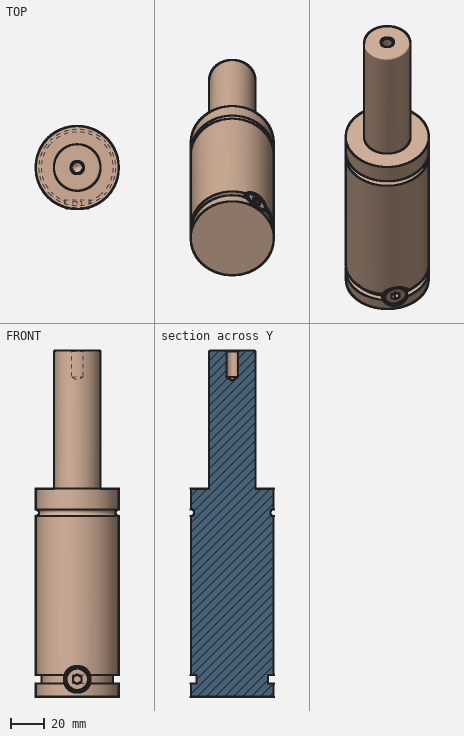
import cadquery as cq
import math

BODY_DIAMETER = 50.0
BODY_HEIGHT = 125.0

BASE_GROOVE_DIAMETER = 43.0
BASE_GROOVE_BOTTOM = 8.0
BASE_GROOVE_TOP = 13.0

NECK_GROOVE_RADIUS = 2.0
NECK_GROOVE_HEIGHT = 110.5

TOTAL_HEIGHT = 208.0
ROD_DIAMETER = 28.0
ROD_EDGE_RADIUS = 1.2

ROD_HOLE_DIAMETER = 6.8
ROD_HOLE_MOUTH_DIAMETER = 8.0
ROD_HOLE_DEPTH = 16.0
DRILL_POINT_ANGLE = 118.0

PLUG_BORE_DIAMETER = 16.0
PLUG_DIAMETER = 14.0
PLUG_CHAMFER = 0.5
PLUG_HEIGHT = (BASE_GROOVE_BOTTOM + BASE_GROOVE_TOP) / 2
PLUG_SEAT_OFFSET = 19.5
PLUG_FACE_OFFSET = 24.5
SOCKET_WIDTH_ACROSS_FLATS = 5.0
SOCKET_DEPTH = 4.0

BODY_RADIUS = BODY_DIAMETER / 2
ROD_RADIUS = ROD_DIAMETER / 2


def make_body_and_rod():
    """Revolve the half profile of the body, both grooves and the rod."""
    groove_radius = BASE_GROOVE_DIAMETER / 2
    neck_bottom = NECK_GROOVE_HEIGHT - NECK_GROOVE_RADIUS
    neck_top = NECK_GROOVE_HEIGHT + NECK_GROOVE_RADIUS
    neck_root = (BODY_RADIUS - NECK_GROOVE_RADIUS, NECK_GROOVE_HEIGHT)
    profile = (
        cq.Workplane("XZ")
        .lineTo(BODY_RADIUS, 0)
        .lineTo(BODY_RADIUS, BASE_GROOVE_BOTTOM)
        .lineTo(groove_radius, BASE_GROOVE_BOTTOM)
        .lineTo(groove_radius, BASE_GROOVE_TOP)
        .lineTo(BODY_RADIUS, BASE_GROOVE_TOP)
        .lineTo(BODY_RADIUS, neck_bottom)
        .threePointArc(neck_root, (BODY_RADIUS, neck_top))
        .lineTo(BODY_RADIUS, BODY_HEIGHT)
        .lineTo(ROD_RADIUS, BODY_HEIGHT)
        .lineTo(ROD_RADIUS, TOTAL_HEIGHT)
        .lineTo(0, TOTAL_HEIGHT)
        .close()
    )
    solid = profile.revolve(360, (0, 0, 0), (0, 1, 0))
    return solid.faces(">Z").edges().fillet(ROD_EDGE_RADIUS)


def make_rod_hole():
    """Drilled hole with a 45 degree mouth and a conical bottom."""
    hole_radius = ROD_HOLE_DIAMETER / 2
    mouth_radius = ROD_HOLE_MOUTH_DIAMETER / 2
    mouth_depth = mouth_radius - hole_radius
    point_length = hole_radius / math.tan(math.radians(DRILL_POINT_ANGLE / 2))
    hole_bottom = TOTAL_HEIGHT - ROD_HOLE_DEPTH
    profile = (
        cq.Workplane("XZ")
        .moveTo(0, TOTAL_HEIGHT)
        .lineTo(mouth_radius, TOTAL_HEIGHT)
        .lineTo(hole_radius, TOTAL_HEIGHT - mouth_depth)
        .lineTo(hole_radius, hole_bottom)
        .lineTo(0, hole_bottom - point_length)
        .close()
    )
    return profile.revolve(360, (0, 0, 0), (0, 1, 0))


def plug_cylinder(diameter, inner_offset, outer_offset):
    """Cylinder on the plug axis between two distances from the body axis."""
    return (
        cq.Workplane("XZ", origin=(0, -inner_offset, PLUG_HEIGHT))
        .circle(diameter / 2)
        .extrude(outer_offset - inner_offset)
    )


def make_plug():
    """Plug with a chamfered outer face and a hexagonal key socket, corners up and down."""
    plug = plug_cylinder(PLUG_DIAMETER, PLUG_SEAT_OFFSET, PLUG_FACE_OFFSET)
    plug = plug.faces("<Y").edges().chamfer(PLUG_CHAMFER)
    socket_corner_diameter = SOCKET_WIDTH_ACROSS_FLATS / math.cos(math.pi / 6)
    socket = (
        cq.Workplane("XZ", origin=(0, -PLUG_FACE_OFFSET, PLUG_HEIGHT))
        .transformed(rotate=(0, 0, 90))
        .polygon(6, socket_corner_diameter)
        .extrude(-SOCKET_DEPTH)
    )
    return plug.cut(socket)


body = make_body_and_rod().cut(make_rod_hole())
plug_bore = plug_cylinder(PLUG_BORE_DIAMETER, PLUG_SEAT_OFFSET, BODY_RADIUS)
result = body.cut(plug_bore).union(make_plug())